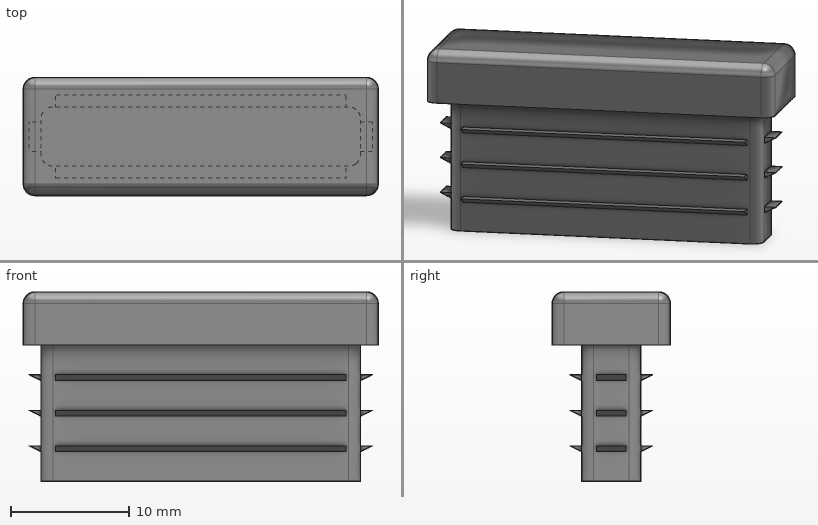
import cadquery as cq

head_length = 30.0
head_width = 10.0
head_height = 4.5
edge_radius = 1.0

stem_length = 27.0
stem_width = 5.0
stem_height = 11.5

fin_reach = 1.0
fin_thickness = 0.5
fin_end_gap = 0.25
fin_count = 3
fin_pitch = 3.0
first_fin_depth = 2.5


def make_head():
    """Block resting on Z = 0 with rounded upright and top edges."""
    block = cq.Workplane("XY").box(head_length, head_width, head_height, centered=(True, True, False))
    return block.edges("|Z or >Z").fillet(edge_radius)


def make_stem():
    """Block hanging below Z = 0 with rounded upright edges."""
    block = cq.Workplane("XY").rect(stem_length, stem_width).extrude(-stem_height)
    return block.edges("|Z").fillet(edge_radius)


def make_fin_pair(span, side_length, top_z):
    """Two opposite fins across X: flat on top, sloping up from the stem wall to a sharp tip."""
    wall = span / 2
    tip = wall + fin_reach
    length = side_length - 2 * (edge_radius + fin_end_gap)
    profile = [
        (-tip, top_z),
        (tip, top_z),
        (wall, top_z - fin_thickness),
        (-wall, top_z - fin_thickness),
    ]
    return cq.Workplane("XZ").polyline(profile).close().extrude(length / 2, both=True)


result = make_head().union(make_stem())
for index in range(fin_count):
    fin_top = -first_fin_depth - index * fin_pitch
    end_fins = make_fin_pair(stem_length, stem_width, fin_top)
    side_fins = make_fin_pair(stem_width, stem_length, fin_top).rotate((0, 0, 0), (0, 0, 1), 90)
    result = result.union(end_fins).union(side_fins)